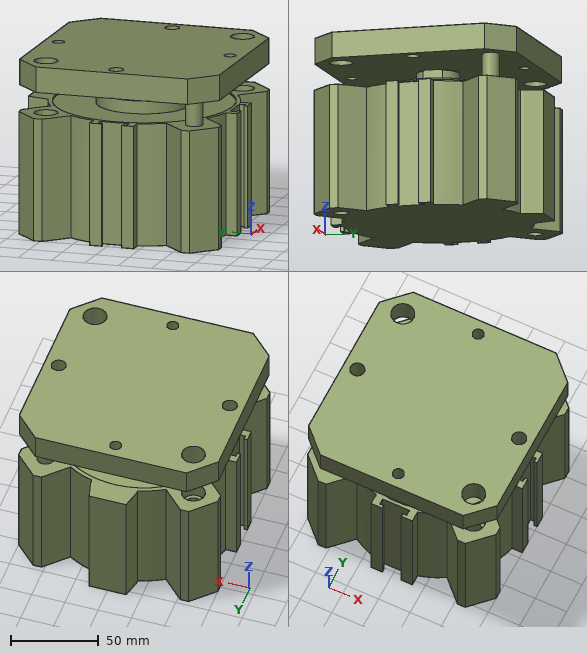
import cadquery as cq

WIDTH = 120.0
HOUSING_HEIGHT = 72.0
PLATE_GAP = 15.5
PLATE_THICKNESS = 15.0
GUIDE_OFFSET = 44.5
PLATE_BOTTOM = HOUSING_HEIGHT + PLATE_GAP
HALF = WIDTH / 2

BARREL_DIAMETER = 110.0
CORNER_CHAMFER = 13.2
POST_EDGE = 5.0
RAIL_WIDTH = 26.3
SLOT_OPENING = 12.0
SLOT_UNDERCUT_WIDTH = 17.0
SLOT_LIP = 2.0
SLOT_FLOOR = 54.5
BOLT_HOLE = 9.0
BOLT_HEAD = 13.5
BOLT_HEAD_DEPTH = 8.6
COVER_DIAMETER = 105.0
COVER_RECESS = 1.0
BOSS_DIAMETER = 55.0
BOSS_HEIGHT = 7.5
BOSS_CHAMFER = 1.0
DUCT_TIP_WIDTH = 22.2
DUCT_ROOT_WIDTH = 25.2
DUCT_PROJECTION = 6.0
BOSS_TOP = HOUSING_HEIGHT + BOSS_HEIGHT

PLATE_CHAMFER = 14.5
GUIDE_DIAMETER = 10.0
ROD_DIAMETER = 25.0
ROD_FLATS = 22.0
ROD_FLAT_HEIGHT = 5.5
ROD_CHAMFER = 0.5
FIXING_OFFSET = 51.5
SIDE_FIXING_HOLE = 8.5
END_FIXING_HOLE = 6.65

BOLT_POINTS = [(-GUIDE_OFFSET, GUIDE_OFFSET), (GUIDE_OFFSET, -GUIDE_OFFSET)]
GUIDE_POINTS = [(-GUIDE_OFFSET, -GUIDE_OFFSET), (GUIDE_OFFSET, GUIDE_OFFSET)]


def cylinder(diameter, bottom, height, points=((0, 0),)):
    """Upright cylinders at the given XY points."""
    return cq.Workplane("XY").workplane(offset=bottom).pushPoints(points).circle(diameter / 2).extrude(height)


def corner_post():
    """Post in the +X +Y corner, with sides running diagonally to the axis."""
    flat_start = HALF - CORNER_CHAMFER
    edge_start = flat_start - POST_EDGE
    outline = [
        (HALF, edge_start),
        (HALF, flat_start),
        (flat_start, HALF),
        (edge_start, HALF),
        (0, HALF - edge_start),
        (HALF - edge_start, 0),
    ]
    return cq.Workplane("XY").polyline(outline).close().extrude(HOUSING_HEIGHT)


def rail():
    """Rail block on the -Y side, reaching into the barrel."""
    return cq.Workplane("XY").rect(RAIL_WIDTH, HALF).extrude(HOUSING_HEIGHT).translate((0, -HALF / 2, 0))


def rail_slot():
    """Undercut slot of the -Y rail, with its flat floor cut slightly into the barrel."""
    depth = HALF - SLOT_FLOOR
    undercut_depth = depth - SLOT_LIP
    opening = cq.Workplane("XY").rect(SLOT_OPENING, depth).extrude(HOUSING_HEIGHT)
    undercut = cq.Workplane("XY").rect(SLOT_UNDERCUT_WIDTH, undercut_depth).extrude(HOUSING_HEIGHT)
    opening = opening.translate((0, -SLOT_FLOOR - depth / 2, 0))
    return opening.union(undercut.translate((0, -SLOT_FLOOR - undercut_depth / 2, 0)))


def cable_duct():
    """Tapered full-height duct on the +Y side, filling the slot there."""
    root = BARREL_DIAMETER / 2
    tip = HALF + DUCT_PROJECTION
    taper = (DUCT_ROOT_WIDTH - DUCT_TIP_WIDTH) / 2 / DUCT_PROJECTION
    root_half = DUCT_TIP_WIDTH / 2 + taper * (tip - root)
    tip_half = DUCT_TIP_WIDTH / 2
    outline = [
        (-root_half, 0),
        (-root_half, root),
        (-tip_half, tip),
        (tip_half, tip),
        (root_half, root),
        (root_half, 0),
    ]
    return cq.Workplane("XY").polyline(outline).close().extrude(HOUSING_HEIGHT)


def make_housing():
    body = cylinder(BARREL_DIAMETER, 0, HOUSING_HEIGHT)
    axis_start, axis_end = (0, 0, 0), (0, 0, 1)
    for quarter in range(4):
        body = body.union(corner_post().rotate(axis_start, axis_end, 90 * quarter))
    for angle in (-90, 0, 90):
        body = body.union(rail().rotate(axis_start, axis_end, angle))
        body = body.cut(rail_slot().rotate(axis_start, axis_end, angle))
    body = body.union(cable_duct())
    recess_floor = HOUSING_HEIGHT - COVER_RECESS
    body = body.cut(cylinder(COVER_DIAMETER, recess_floor, COVER_RECESS))
    boss = cylinder(BOSS_DIAMETER, recess_floor, COVER_RECESS + BOSS_HEIGHT)
    body = body.union(boss.faces(">Z").edges().chamfer(BOSS_CHAMFER))
    body = body.cut(cylinder(BOLT_HOLE, 0, HOUSING_HEIGHT, BOLT_POINTS))
    head_floor = HOUSING_HEIGHT - BOLT_HEAD_DEPTH
    return body.cut(cylinder(BOLT_HEAD, head_floor, BOLT_HEAD_DEPTH, BOLT_POINTS))


def piston_rod():
    """Rod from the boss to the plate, with spanner flats below the plate."""
    rod = cylinder(ROD_DIAMETER, BOSS_TOP, PLATE_BOTTOM - BOSS_TOP).faces(">Z").edges().chamfer(ROD_CHAMFER)
    flats = cq.Workplane("XY").workplane(offset=PLATE_BOTTOM - ROD_FLAT_HEIGHT)
    collar = cylinder(ROD_DIAMETER, BOSS_TOP, PLATE_BOTTOM - ROD_FLAT_HEIGHT - BOSS_TOP)
    return rod.intersect(flats.rect(ROD_FLATS, ROD_DIAMETER).extrude(ROD_FLAT_HEIGHT)).union(collar)


def make_slide():
    plate = cq.Workplane("XY").workplane(offset=PLATE_BOTTOM).rect(WIDTH, WIDTH).extrude(PLATE_THICKNESS)
    plate = plate.edges("|Z").chamfer(PLATE_CHAMFER)
    side_points = [(-FIXING_OFFSET, 0), (FIXING_OFFSET, 0)]
    end_points = [(0, -FIXING_OFFSET), (0, FIXING_OFFSET)]
    plate = plate.cut(cylinder(BOLT_HEAD, PLATE_BOTTOM, PLATE_THICKNESS, BOLT_POINTS))
    plate = plate.cut(cylinder(SIDE_FIXING_HOLE, PLATE_BOTTOM, PLATE_THICKNESS, side_points))
    plate = plate.cut(cylinder(END_FIXING_HOLE, PLATE_BOTTOM, PLATE_THICKNESS, end_points))
    guides = cylinder(GUIDE_DIAMETER, HOUSING_HEIGHT, PLATE_GAP, GUIDE_POINTS)
    return plate.union(guides).union(piston_rod())


housing = make_housing()
slide = make_slide()
result = cq.Compound.makeCompound([housing.val(), slide.val()])